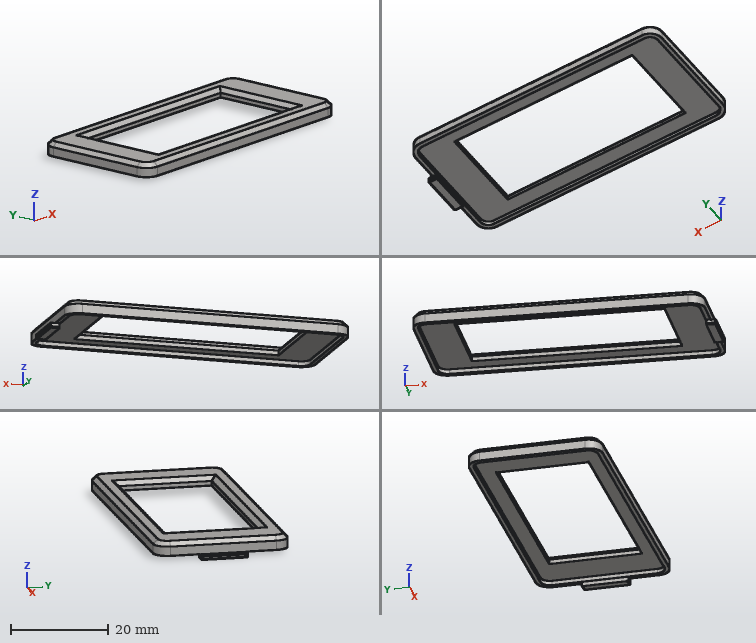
import cadquery as cq

plate_length = 61.15
plate_width = 28.4
plate_height = 3.0
corner_radius = 3.0
rim_chamfer = 1.0

window_length = 44.05
window_width = 19.7
window_bevel = 1.1
window_bevel_depth = 1.0
window_shift = -0.2

recess_depth = 1.0
rim_thickness = 1.0

overall_length = 62.3
tab_length = 2.1
tab_width = 10
tab_height = 1.0
tab_chamfer = 0.25


def make_plate():
    """Rounded rectangular plate with a chamfered top rim."""
    plate = cq.Workplane("XY").rect(plate_length, plate_width).extrude(plate_height)
    plate = plate.edges("|Z").fillet(corner_radius)
    return plate.faces(">Z").chamfer(rim_chamfer)


def make_window():
    """Cutter for the through window, with its bevel at the top edge."""
    opening = cq.Workplane("XY").rect(window_length, window_width).extrude(plate_height)
    bevel = (
        cq.Workplane("XY")
        .workplane(offset=plate_height - window_bevel_depth)
        .rect(window_length, window_width)
        .workplane(offset=window_bevel_depth)
        .rect(window_length + 2 * window_bevel, window_width + 2 * window_bevel)
        .loft(ruled=True)
    )
    return opening.union(bevel).translate((window_shift, 0, 0))


def make_recess():
    """Cutter that hollows the underside, concentric with the plate outline."""
    return (
        cq.Workplane("XY")
        .rect(plate_length - 2 * rim_thickness, plate_width - 2 * rim_thickness)
        .extrude(recess_depth)
        .edges("|Z")
        .fillet(corner_radius - rim_thickness)
    )


def make_tab():
    """Flat tab below the rim, chamfered around its outer end and along its bottom side edges."""
    tab = cq.Workplane("XY").box(tab_length, tab_width, tab_height, centered=(False, True, False))
    tab = tab.edges(">X or (|X and <Z)").chamfer(tab_chamfer)
    tab_end = overall_length - plate_length / 2
    return tab.translate((tab_end - tab_length, 0, -tab_height))


result = make_plate().cut(make_window()).cut(make_recess()).union(make_tab())